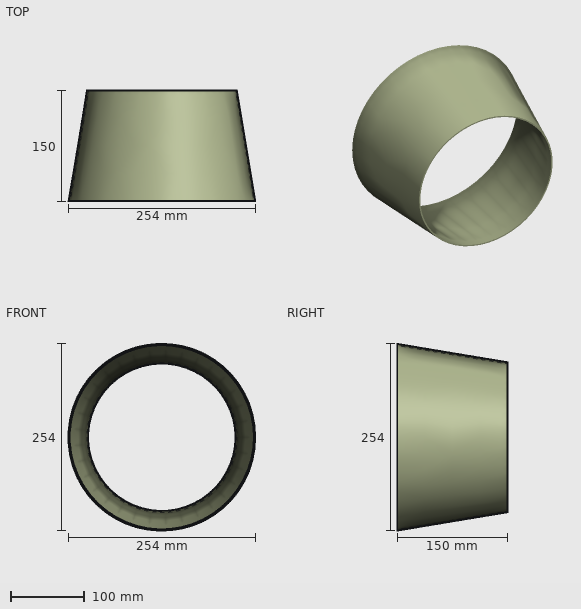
import cadquery as cq

large_diameter = 254.0
small_diameter = 204.0
length = 150.0
wall = 2.0

large_radius = large_diameter / 2
small_radius = small_diameter / 2

wall_section = [
    (large_radius - wall, 0),
    (large_radius, 0),
    (small_radius, length),
    (small_radius - wall, length),
]

result = (
    cq.Workplane("XY")
    .polyline(wall_section)
    .close()
    .revolve(360, (0, 0, 0), (0, 1, 0))
)